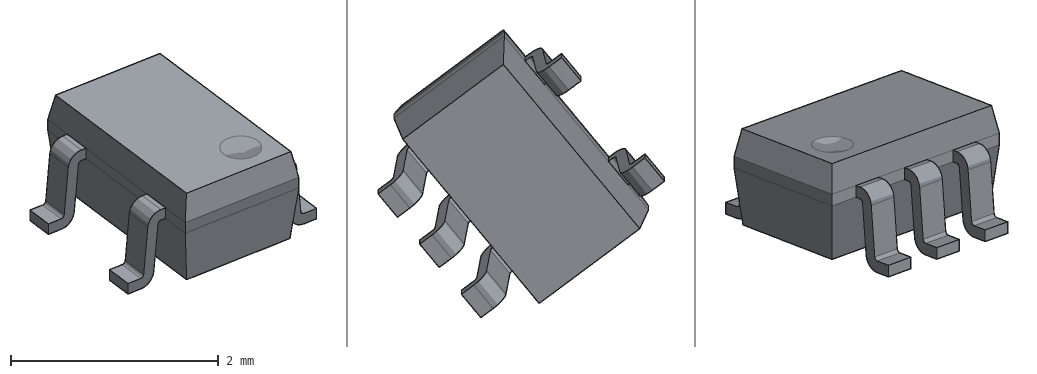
import cadquery as cq
import math

body_length = 2.25
body_width = 1.355
body_bottom = 0.108
body_top = 1.11
top_inset = 0.055
bottom_inset = 0.06

lead_span = 2.25
lead_width = 0.304
lead_pitch = 0.65
lead_thickness = 0.122
lead_top = 0.821
shoulder_reach = 0.875
leg_tilt = 5.3
inner_bend_radius = 0.035
outer_bend_radius = inner_bend_radius + lead_thickness
band_bottom = lead_top - lead_thickness

dimple_x = 0.727
dimple_y = 0.275
dimple_radius = 0.202
dimple_depth = 0.025


def tapered_block(start_z, end_z, inset):
    """Block running from the full housing outline to an outline inset on all sides."""
    return (
        cq.Workplane("XY", origin=(0, 0, start_z))
        .rect(body_length, body_width)
        .workplane(offset=end_z - start_z)
        .rect(body_length - 2 * inset, body_width - 2 * inset)
        .loft(ruled=True, combine=True)
    )


def make_housing():
    band = cq.Workplane("XY", origin=(0, 0, band_bottom)).rect(body_length, body_width).extrude(lead_thickness)
    upper = tapered_block(lead_top, body_top, top_inset)
    lower = tapered_block(band_bottom, body_bottom, bottom_inset)
    sphere_radius = (dimple_radius**2 + dimple_depth**2) / (2 * dimple_depth)
    sphere_z = body_top - dimple_depth + sphere_radius
    dimple = cq.Workplane("XY", origin=(dimple_x, dimple_y, sphere_z)).sphere(sphere_radius)
    return band.union(upper).union(lower).cut(dimple)


def make_lead(x, side):
    """Lead centred at x, leaving the housing toward +Y (side = 1) or -Y (side = -1)."""
    slope = math.tan(math.radians(leg_tilt))
    leg_thickness_y = lead_thickness / math.cos(math.radians(leg_tilt))

    def leg_outside(z):
        return shoulder_reach + (lead_top - z) * slope

    def leg_inside(z):
        return leg_outside(z) - leg_thickness_y

    outer_shoulder = (leg_outside(lead_top), lead_top)
    inner_shoulder = (leg_inside(band_bottom), band_bottom)
    inner_heel = (leg_outside(lead_thickness), lead_thickness)
    outer_heel = (leg_inside(0), 0)
    outline = [
        (body_width / 2, lead_top),
        outer_shoulder,
        inner_heel,
        (lead_span / 2, lead_thickness),
        (lead_span / 2, 0),
        outer_heel,
        inner_shoulder,
        (body_width / 2, band_bottom),
    ]
    lead = cq.Workplane("YZ").polyline(outline).close().extrude(lead_width / 2, both=True)

    def bend_edges(corners):
        return lead.edges(cq.selectors.SumSelector(edge_at(corners[0]), edge_at(corners[1])))

    def edge_at(corner):
        return cq.NearestToPointSelector((0, *corner))

    lead = bend_edges([outer_shoulder, outer_heel]).fillet(outer_bend_radius)
    lead = bend_edges([inner_shoulder, inner_heel]).fillet(inner_bend_radius)
    if side < 0:
        lead = lead.mirror("XZ")
    return lead.translate((x, 0, 0))


housing = make_housing()

lead_places = [(column * lead_pitch, 1) for column in (-1, 0, 1)]
lead_places += [(column * lead_pitch, -1) for column in (-1, 1)]
leads = [make_lead(x, side).val() for x, side in lead_places]

result = cq.Compound.makeCompound([housing.val(), *leads])